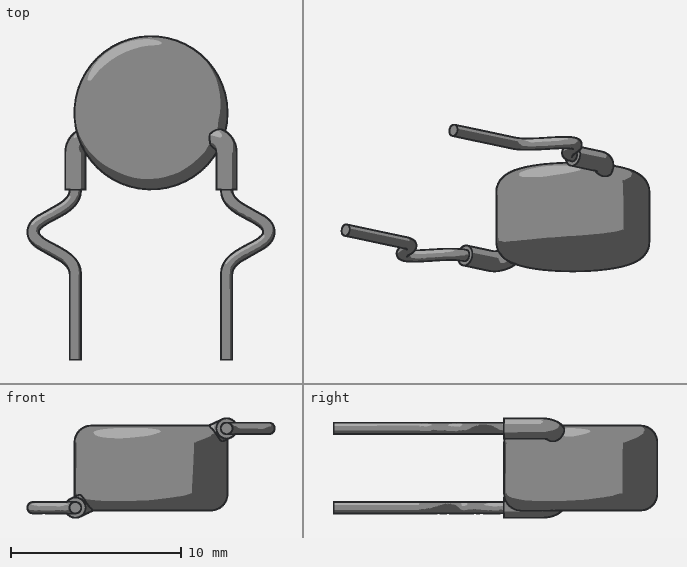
import cadquery as cq


overall_width = 14.52
overall_length = 19
overall_height = 5.85

disc_diameter = 9.0
disc_radius = disc_diameter / 2
disc_height = 5.0
disc_edge_radius = 1.0

sleeve_diameter = 1.2
sleeve_radius = sleeve_diameter / 2
sleeve_length = 2.18
elbow_radius = 0.84
elbow_tilt = 25

lead_diameter = 0.68
lead_spacing = 8.87
kink_height = 2.49
kink_end_handle = 1.37
kink_peak_handle = 0.99

lead_x = lead_spacing / 2
lead_level = (overall_height - sleeve_diameter) / 2
kink_depth = (overall_width - lead_diameter) / 2 - lead_x
sleeve_end_y = -disc_radius
elbow_start_y = sleeve_end_y + sleeve_length
kink_peak_y = sleeve_end_y - kink_height
kink_bottom_y = kink_peak_y - kink_height
lead_tip_y = disc_radius - overall_length


def at_both_leads(shape):
    """Copies of a shape of the upper lead, one for each lead."""
    return [shape.rotate((0, 0, 0), (0, 1, 0), turn) for turn in (0, 180)]


def make_disc():
    """Round disc with rounded edges."""
    disc = cq.Workplane("XY").cylinder(disc_height, disc_radius)
    return disc.edges().fillet(disc_edge_radius)


def make_sleeve():
    """Solid sleeve on the upper lead axis: straight part, then a quarter-turn elbow."""
    start = cq.Workplane("XZ", origin=(lead_x, elbow_start_y, lead_level))
    straight = start.circle(sleeve_radius).extrude(sleeve_length)
    elbow = (
        start.transformed(rotate=(0, 0, elbow_tilt))
        .circle(sleeve_radius)
        .revolve(90, (-elbow_radius, 0), (-elbow_radius, 1))
    )
    return straight.union(elbow)


def make_lead_path():
    """Centre line of the upper lead: straight, a smooth kink outwards, straight."""
    peak_x = lead_x + kink_depth
    kink_start = (lead_x, sleeve_end_y)
    start_handle = (lead_x, sleeve_end_y - kink_end_handle)
    peak_upper_handle = (peak_x, kink_peak_y + kink_peak_handle)
    kink_peak = (peak_x, kink_peak_y)
    peak_lower_handle = (peak_x, kink_peak_y - kink_peak_handle)
    bottom_handle = (lead_x, kink_bottom_y + kink_end_handle)
    kink_bottom = (lead_x, kink_bottom_y)
    return (
        cq.Workplane("XY", origin=(0, 0, lead_level))
        .moveTo(lead_x, elbow_start_y)
        .lineTo(*kink_start)
        .bezier([kink_start, start_handle, peak_upper_handle, kink_peak])
        .bezier([kink_peak, peak_lower_handle, bottom_handle, kink_bottom])
        .lineTo(lead_x, lead_tip_y)
    )


def make_lead():
    """Upper lead, from the inner end of the straight part of its sleeve to its tip."""
    profile = cq.Workplane("XZ", origin=(lead_x, elbow_start_y, lead_level))
    return profile.circle(lead_diameter / 2).sweep(make_lead_path())


def make_housing(leads):
    """Disc and both sleeves in one coating, with a hole for each lead."""
    housing = make_disc()
    for sleeve in at_both_leads(make_sleeve()):
        housing = housing.union(sleeve)
    for lead in leads:
        housing = housing.cut(lead)
    return housing


leads = at_both_leads(make_lead())
housing = make_housing(leads)

result = cq.Compound.makeCompound([housing.val(), *[lead.val() for lead in leads]])